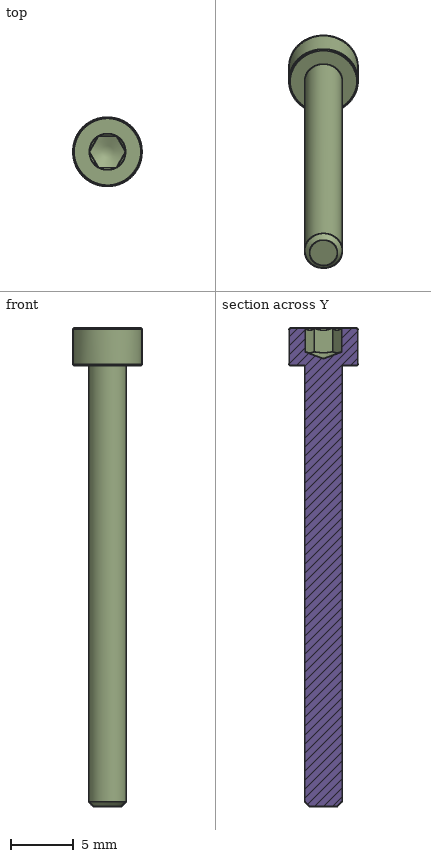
import cadquery as cq
import math

head_diameter = 5.5
head_height = 3.0
head_rim_chamfer = 0.1

shank_diameter = 3.0
shank_length = 35.0
tip_chamfer = 0.4

socket_across_flats = 2.5
socket_depth = 1.9
mouth_angle = math.radians(45)
floor_angle = math.radians(70)
socket_across_corners = socket_across_flats / math.cos(math.pi / 6)
socket_corner_radius = socket_across_corners / 2


def revolve_profile(half_profile):
    """Solid of revolution about Z from (radius, z) points."""
    return cq.Workplane("XZ").polyline(half_profile).close().revolve(360, (0, 0), (0, 1))


def make_head():
    """Cylindrical head with both rims broken."""
    head = cq.Workplane("XY").circle(head_diameter / 2).extrude(head_height)
    return head.faces("<Z or >Z").edges().chamfer(head_rim_chamfer)


def make_shank():
    """Plain shank with a chamfered tip."""
    shank = cq.Workplane("XY").circle(shank_diameter / 2).extrude(-shank_length)
    return shank.faces("<Z").edges().chamfer(tip_chamfer)


def make_socket():
    """Hexagonal drive recess with a countersunk mouth and a conical floor."""
    floor_rim_z = head_height - socket_depth
    floor_apex_z = floor_rim_z - socket_corner_radius / math.tan(floor_angle)
    mouth_apex_z = head_height - socket_corner_radius / math.tan(mouth_angle)

    hexagon = cq.Workplane("XY").workplane(offset=floor_apex_z).polygon(6, socket_across_corners)
    prism = hexagon.extrude(head_height - floor_apex_z)
    pointed_bore = revolve_profile([
        (0, head_height),
        (socket_corner_radius, head_height),
        (socket_corner_radius, floor_rim_z),
        (0, floor_apex_z),
    ])
    mouth = revolve_profile([
        (0, head_height),
        (socket_corner_radius, head_height),
        (0, mouth_apex_z),
    ])
    return prism.intersect(pointed_bore).union(mouth)


result = make_head().union(make_shank()).cut(make_socket())